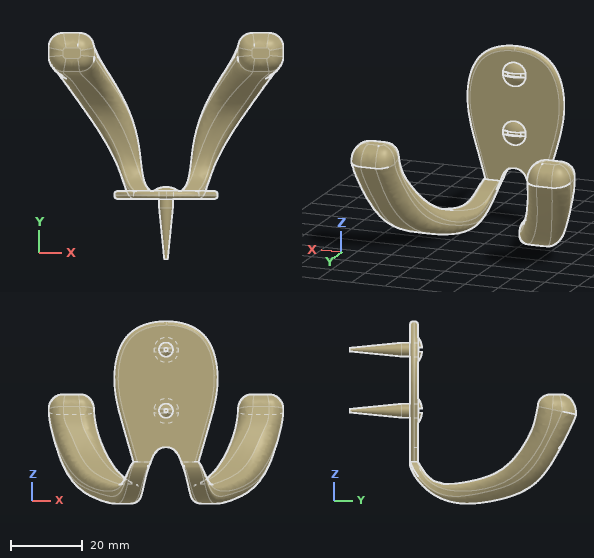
import cadquery as cq
import math


PLATE_THICK = 2.3
PLATE_HEIGHT = 39.25
PLATE_HALF_WIDTH = 14.4
WIDEST_Z = 24.6
FOOT_OUTER_X = 9.1
FOOT_INNER_X = 4.2
ARCH_HEIGHT = 4.05
EDGE_ROUND = 1.05
SIDE_POINT = (11.85, 9.55)
SHOULDER_POINT = (10.6, 35.3)
FOOT_SLOPE = (0.27, 1)
ARCH_END_SLOPE = (0.35, -1)

HOOK_TOP_Z = 18.85
FOOT_CORNER = 0.2
HOOK_SECTIONS = [
    ((FOOT_INNER_X, FOOT_OUTER_X), (PLATE_THICK, 0), (0, 0), FOOT_CORNER),
    ((6.0, 11.65), (5.6, -4.5), (3.5, -6.55), 0.8),
    ((7.0, 14.3), (10.8, -6.15), (11.15, -11.1), 1.65),
    ((8.4, 18.55), (17.7, -5.2), (20.05, -11.4), 2.8),
    ((12.45, 24.75), (26.1, -1.8), (30.8, -8.6), 3.4),
    ((16.7, 29.3), (31.85, 4.85), (38.4, -2.1), 3.9),
    ((19.25, 31.9), (34.45, 10.35), (43.9, 7.6), 4.05),
    ((20.05, 32.75), (35.65, 15.5), (46.4, 13.25), 4.1),
]
TIP_FACE = ((23.85, 28.75), (39.3, HOOK_TOP_Z), (42.25, HOOK_TOP_Z), 0.8)
TIP_STEPS = 5

SCREW_HEIGHTS = (14.3, 31.3)
SHANK_RADIUS = 1.95
SHANK_END_Y = -2.35
TIP_RADIUS = 0.5
TIP_Y = -16.8
HEAD_RADIUS = 3.5
HEAD_HEIGHT = 1.2
SLOT_WIDTH = 1.1
SLOT_DEPTH = 1.05


def make_plate():
    """Pear-shaped plate with rounded rim and an arch cut between the two legs."""
    half = (
        cq.Workplane("XZ")
        .lineTo(FOOT_OUTER_X, 0)
        .spline(
            [SIDE_POINT, (PLATE_HALF_WIDTH, WIDEST_Z), SHOULDER_POINT, (0, PLATE_HEIGHT)],
            tangents=[FOOT_SLOPE, (-1, 0)],
            includeCurrent=True,
        )
        .close()
        .extrude(-PLATE_THICK)
    )
    blank = half.union(half.mirror("YZ"))
    plate = blank.faces("|Y").edges("not(<Z)").fillet(EDGE_ROUND)
    half_arch = (
        cq.Workplane("XZ")
        .moveTo(0, ARCH_HEIGHT)
        .spline([(FOOT_INNER_X, 0)], tangents=[(1, 0), ARCH_END_SLOPE], includeCurrent=True)
        .lineTo(0, 0)
        .close()
        .extrude(-PLATE_THICK)
    )
    return plate.cut(half_arch).cut(half_arch.mirror("YZ"))


def hook_section(x_range, upper, under, corner):
    """Rounded rectangle reaching across x_range and from the upper side to the underside."""
    upper_point = cq.Vector(0, *upper)
    across = cq.Vector(0, *under) - upper_point
    centre = upper_point + across * 0.5 + cq.Vector(sum(x_range) / 2, 0, 0)
    x_axis = cq.Vector(1, 0, 0)
    plane = cq.Plane(centre, x_axis, x_axis.cross(across))
    sketch = cq.Sketch().rect(x_range[1] - x_range[0], across.Length).vertices().fillet(corner)
    return sketch.reset().faces().val().outerWire().moved(cq.Location(plane))


def blend(start, end, fraction):
    """Value the given fraction of the way from start to end."""
    return start + (end - start) * fraction


def tip_section(angle):
    """Section of the tip at an angle along its quarter-round: 0 is the rim, 90 degrees the face."""
    inward = 1 - math.cos(angle)
    upward = math.sin(angle)
    rim_x, rim_upper, rim_under, rim_corner = HOOK_SECTIONS[-1]
    face_x, face_upper, face_under, face_corner = TIP_FACE
    x_range = [blend(rim, face, inward) for rim, face in zip(rim_x, face_x)]
    upper = (blend(rim_upper[0], face_upper[0], inward), blend(rim_upper[1], face_upper[1], upward))
    under = (blend(rim_under[0], face_under[0], inward), blend(rim_under[1], face_under[1], upward))
    return hook_section(x_range, upper, under, blend(rim_corner, face_corner, inward))


def make_hook():
    """Right-hand hook, thickening from the plate to its rounded tip with a level face."""
    arm = cq.Solid.makeLoft([hook_section(*section) for section in HOOK_SECTIONS])
    angles = [math.pi / 2 * step / TIP_STEPS for step in range(TIP_STEPS + 1)]
    tip = cq.Solid.makeLoft([tip_section(angle) for angle in angles])
    return cq.Workplane(arm).union(cq.Workplane(tip))


def make_hanger():
    """Plate and both hooks as one body, with straight holes for the screws."""
    hook = make_hook()
    hanger = make_plate().union(hook).union(hook.mirror("YZ"))
    for height in SCREW_HEIGHTS:
        hole = cq.Workplane("XZ").center(0, height).circle(SHANK_RADIUS).extrude(-PLATE_THICK)
        hanger = hanger.cut(hole)
    return hanger.solids()


def make_screw(height):
    """Tapered screw along Y with a slotted, domed head resting on the plate."""
    crown_y = PLATE_THICK + HEAD_HEIGHT
    dome_radius = (HEAD_RADIUS**2 + HEAD_HEIGHT**2) / (2 * HEAD_HEIGHT)
    half_chord_x = HEAD_RADIUS / 2
    dome_mid_y = crown_y - dome_radius + (dome_radius**2 - half_chord_x**2) ** 0.5
    screw = (
        cq.Workplane("XY")
        .moveTo(0, TIP_Y)
        .lineTo(TIP_RADIUS, TIP_Y)
        .lineTo(SHANK_RADIUS, SHANK_END_Y)
        .lineTo(SHANK_RADIUS, PLATE_THICK)
        .lineTo(HEAD_RADIUS, PLATE_THICK)
        .threePointArc((half_chord_x, dome_mid_y), (0, crown_y))
        .close()
        .revolve(360, (0, 0, 0), (0, 1, 0))
    )
    slot = cq.Workplane("XY").box(2 * HEAD_RADIUS, 2 * SLOT_DEPTH, SLOT_WIDTH)
    return screw.cut(slot.translate((0, crown_y, 0))).translate((0, 0, height))


hanger = make_hanger()
screws = [make_screw(height) for height in SCREW_HEIGHTS]

result = cq.Compound.makeCompound([hanger.val(), *[screw.val() for screw in screws]])